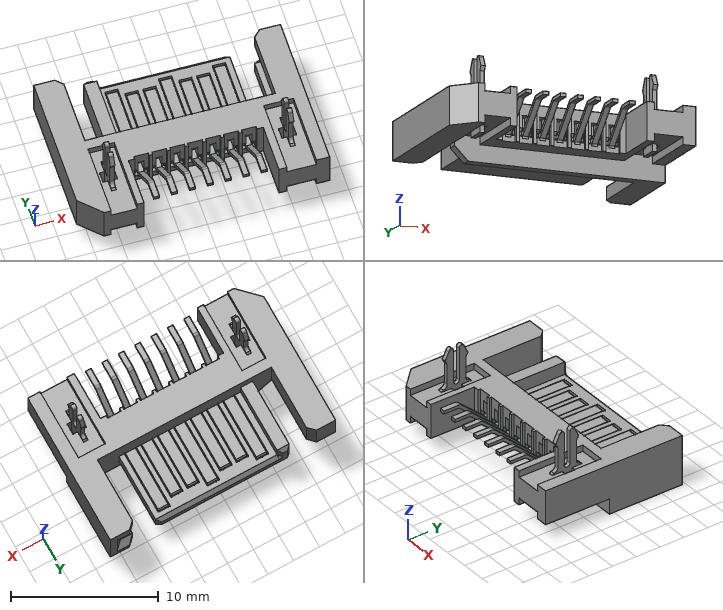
import cadquery as cq
import math


LENGTH = 17.47
DEPTH = 11.5
BODY_TOP = 4.0
BODY_BOTTOM = 1.24
ARM_WIDTH = 2.0
ARM_TIP_CHAMFER = 0.5
CORNER_CHAMFER = 1.5
BAR_FRONT = 3.65
BAR_BACK = 6.11
LEFT_LEG_WIDTH = 4.33
RIGHT_LEG_WIDTH = 3.6

SKIRT_FRONT = 5.36
SKIRT_CHAMFER = 1.0

LEDGE_TOP = 0.93
GROOVE_TOP = 3.0
GROOVE_DEPTH = 0.93

TONGUE_LEFT = 3.45
TONGUE_RIGHT = 13.8
TONGUE_BOTTOM = LEDGE_TOP
TONGUE_TOP = 2.08
KEY_WIDTH = 0.95
KEY_TOP = 3.1
TONGUE_TIP_CHAMFER = 0.3
TONGUE_TIP_BEVEL_ANGLE = 45

POCKET_SPANS = ((ARM_WIDTH, 3.85), (14.43, 16.53))
POCKET_BACK = SKIRT_FRONT
TOP_POCKET_DEPTH = 0.5
BOTTOM_POCKET_DEPTH = 0.55
POCKET_FLOOR = BODY_TOP - TOP_POCKET_DEPTH

CONTACT_COUNT = 7
CONTACT_ROW_LENGTH = 7.62
PITCH = CONTACT_ROW_LENGTH / (CONTACT_COUNT - 1)
CENTER_CONTACT_X = 9.1
LONG_CONTACTS = (0, 3, 6)
LONG_SLOT_END = 10.85
SHORT_SLOT_END = 10.35
SLOT_WIDTH = 0.9
SLOT_CLEARANCE = 0.05
SLOT_END_GAP = 0.09
CONTACT_THICKNESS = 0.25
CONTACT_TIP_CHAMFER = 0.1
CONTACT_FLOOR = TONGUE_TOP - CONTACT_THICKNESS
CONTACT_FRONT = 4.05
NOTCH_WIDTH = 1.03
NOTCH_DEPTH = 0.21
NOTCH_BACK = BAR_FRONT + NOTCH_DEPTH
SLOT_FLARE_BOTTOM = 1.71
SLOT_FLARE_TOP = 2.3
SLOT_FLARE_DEPTH = 0.21
RELIEF_TOP = 3.2
RELIEF_DEPTH = 0.7

PIN_WIDTH = 0.42
PIN_FRONT = 0.25
PIN_BEND_Y = 1.52
PIN_BEND_RADIUS = 0.35
PIN_LOW = 1.57
PIN_STEP_Y = 3.85
PIN_SLOPE = math.radians(41)

CLIP_CENTERS_X = (2.78, 15.45)
CLIP_CENTER_Y = 3.18
CLIP_THICKNESS = 0.33
CLIP_TOP = 6.7
CLIP_HALF_WIDTH = 0.79
CLIP_FOOT_HALF_WIDTH = 1.25
CLIP_FOOT_HEIGHT = 0.12
CLIP_FILLET = 0.33
CLIP_GAP = 0.47
CLIP_GAP_BOTTOM = 3.7
BARB_HALF_WIDTH = 0.96
BARB_Z = 5.9
BARB_BASE_Z = 5.57
PRONG_SHOULDER_HALF_WIDTH = 0.65
PRONG_SHOULDER_Z = 6.53
PRONG_CREST_HALF_WIDTH = 0.44
PRONG_INNER_Z = 6.5
WINDOW_WIDTH = 1.03
WINDOW_DEPTH = 0.82


def box(x_span, y_span, z_span):
    """Box between the given X, Y and Z limits."""
    corners = list(zip(x_span, y_span, z_span))
    size = [high - low for low, high in zip(*corners)]
    return cq.Workplane("XY").box(*size, centered=False).translate(corners[0])


def plate(points, x_center, width):
    """Plate with a (Y, Z) outline, centered on x_center and width thick along X."""
    outline = cq.Workplane("YZ", origin=(x_center - width / 2, 0, 0)).polyline(points).close()
    return outline.extrude(width)


def make_body():
    """Two-armed frame with the two front legs."""
    inner_right = LENGTH - ARM_WIDTH
    points = [
        (CORNER_CHAMFER, 0),
        (LEFT_LEG_WIDTH, 0),
        (LEFT_LEG_WIDTH, BAR_FRONT),
        (LENGTH - RIGHT_LEG_WIDTH, BAR_FRONT),
        (LENGTH - RIGHT_LEG_WIDTH, 0),
        (LENGTH, 0),
        (LENGTH, DEPTH),
        (inner_right + ARM_TIP_CHAMFER, DEPTH),
        (inner_right, DEPTH - ARM_TIP_CHAMFER),
        (inner_right, BAR_BACK),
        (ARM_WIDTH, BAR_BACK),
        (ARM_WIDTH, DEPTH - ARM_TIP_CHAMFER),
        (ARM_WIDTH - ARM_TIP_CHAMFER, DEPTH),
        (0, DEPTH),
        (0, CORNER_CHAMFER),
    ]
    outline = cq.Workplane("XY", origin=(0, 0, BODY_BOTTOM)).polyline(points).close()
    return outline.extrude(BODY_TOP - BODY_BOTTOM)


def make_skirt():
    """Wall under the crossbar, chamfered at its lower left corner."""
    wall = box((ARM_WIDTH, LENGTH), (SKIRT_FRONT, BAR_BACK), (0, BODY_BOTTOM))
    return wall.edges("|Y and <X and <Z").chamfer(SKIRT_CHAMFER)


def make_right_arm_base():
    """Lower part of the right arm, which carries the ledge."""
    inner = LENGTH - ARM_WIDTH
    base = box((inner, LENGTH), (BAR_BACK, DEPTH), (0, BODY_BOTTOM))
    return base.edges("|Z and <X and >Y").chamfer(ARM_TIP_CHAMFER)


def make_guide_groove():
    """Groove above the ledge, widening at its back end, plus the bevel on the back of the ledge."""
    inner = LENGTH - ARM_WIDTH
    floor_x = inner + GROOVE_DEPTH
    points = [
        (inner, BAR_BACK),
        (floor_x, BAR_BACK),
        (floor_x, DEPTH - ARM_TIP_CHAMFER),
        (floor_x + ARM_TIP_CHAMFER, DEPTH),
        (inner, DEPTH),
    ]
    outline = cq.Workplane("XY", origin=(0, 0, LEDGE_TOP)).polyline(points).close()
    groove = outline.extrude(GROOVE_TOP - LEDGE_TOP)
    bevel_points = [
        (DEPTH - ARM_TIP_CHAMFER, LEDGE_TOP),
        (DEPTH, LEDGE_TOP),
        (DEPTH, LEDGE_TOP - ARM_TIP_CHAMFER),
    ]
    bevel_width = GROOVE_DEPTH + ARM_TIP_CHAMFER
    bevel = plate(bevel_points, inner + bevel_width / 2, bevel_width)
    return groove.union(bevel)


def make_tongue():
    """L-section tongue with a bevel all round its tip."""
    points = [
        (TONGUE_LEFT, TONGUE_BOTTOM),
        (TONGUE_RIGHT, TONGUE_BOTTOM),
        (TONGUE_RIGHT, TONGUE_TOP),
        (TONGUE_LEFT + KEY_WIDTH, TONGUE_TOP),
        (TONGUE_LEFT + KEY_WIDTH, KEY_TOP),
        (TONGUE_LEFT, KEY_TOP),
    ]
    bevel_start = DEPTH - TONGUE_TIP_CHAMFER

    def section(y):
        return cq.Workplane("XZ", origin=(0, y, 0)).polyline(points).close()

    shank = section(BAR_BACK).extrude(BAR_BACK - bevel_start)
    tip = section(bevel_start).extrude(-TONGUE_TIP_CHAMFER, taper=TONGUE_TIP_BEVEL_ANGLE)
    return shank.union(tip)


def make_leg_pockets():
    """Pockets in the top and the underside of both legs."""
    pockets = cq.Workplane("XY")
    for span in POCKET_SPANS:
        pockets = pockets.union(box(span, (0, POCKET_BACK), (POCKET_FLOOR, BODY_TOP)))
        bottom_z = (BODY_BOTTOM, BODY_BOTTOM + BOTTOM_POCKET_DEPTH)
        pockets = pockets.union(box(span, (0, POCKET_BACK), bottom_z))
    return pockets


def make_clip_windows():
    """Rectangular openings through the legs around the clips."""
    centers = [(x, CLIP_CENTER_Y) for x in CLIP_CENTERS_X]
    return cq.Workplane("XY").pushPoints(centers).rect(WINDOW_WIDTH, WINDOW_DEPTH).extrude(BODY_TOP)


def make_contact_slot(x, slot_end):
    """Front notch, flared contact slot along the bar and tongue, and pin relief above its mouth."""
    half_notch = NOTCH_WIDTH / 2
    notch = box((x - half_notch, x + half_notch), (BAR_FRONT, NOTCH_BACK), (BODY_BOTTOM, BODY_TOP))
    slot_points = [
        (NOTCH_BACK, SLOT_FLARE_BOTTOM),
        (NOTCH_BACK + SLOT_FLARE_DEPTH, CONTACT_FLOOR),
        (slot_end, CONTACT_FLOOR),
        (slot_end, TONGUE_TOP),
        (NOTCH_BACK + SLOT_FLARE_DEPTH, TONGUE_TOP),
        (NOTCH_BACK, SLOT_FLARE_TOP),
    ]
    half_pin = PIN_WIDTH / 2
    relief_y = (NOTCH_BACK, NOTCH_BACK + RELIEF_DEPTH)
    relief = box((x - half_pin, x + half_pin), relief_y, (TONGUE_TOP, RELIEF_TOP))
    return notch.union(plate(slot_points, x, SLOT_WIDTH)).union(relief)


def make_contact(x, slot_end):
    """Contact blade with a bevelled tip, joined to a cranked solder pin."""
    tip = slot_end - SLOT_END_GAP
    blade_points = [
        (CONTACT_FRONT, CONTACT_FLOOR),
        (tip, CONTACT_FLOOR),
        (tip, TONGUE_TOP - CONTACT_TIP_CHAMFER),
        (tip - CONTACT_TIP_CHAMFER, TONGUE_TOP),
        (CONTACT_FRONT, TONGUE_TOP),
    ]
    blade = plate(blade_points, x, SLOT_WIDTH - 2 * SLOT_CLEARANCE)

    pin_underside = BODY_TOP - CONTACT_THICKNESS
    bend_shift = CONTACT_THICKNESS * math.tan(PIN_SLOPE / 2)
    top_bend_y = PIN_BEND_Y + bend_shift
    pin_points = [
        (PIN_FRONT, BODY_TOP),
        (PIN_FRONT, pin_underside),
        (PIN_BEND_Y, pin_underside),
        (PIN_STEP_Y, pin_underside - (PIN_STEP_Y - PIN_BEND_Y) * math.tan(PIN_SLOPE)),
        (PIN_STEP_Y, PIN_LOW),
        (CONTACT_FRONT, PIN_LOW),
        (CONTACT_FRONT, CONTACT_FLOOR),
        (CONTACT_FRONT + CONTACT_THICKNESS, CONTACT_FLOOR),
        (CONTACT_FRONT + CONTACT_THICKNESS, TONGUE_TOP),
        (top_bend_y + (BODY_TOP - TONGUE_TOP) / math.tan(PIN_SLOPE), TONGUE_TOP),
        (top_bend_y, BODY_TOP),
    ]
    pin = plate(pin_points, x, PIN_WIDTH)
    outer_bend = cq.NearestToPointSelector((x, top_bend_y, BODY_TOP))
    pin = pin.edges(outer_bend).fillet(PIN_BEND_RADIUS)
    inner_bend = cq.NearestToPointSelector((x, PIN_BEND_Y, pin_underside))
    pin = pin.edges(inner_bend).fillet(PIN_BEND_RADIUS - CONTACT_THICKNESS)
    return blade.union(pin)


def make_clip(x):
    """Two-pronged barbed board clip standing in its leg."""
    foot_top = POCKET_FLOOR + CLIP_FOOT_HEIGHT
    fillet_top = foot_top + CLIP_FILLET
    diagonal = math.sqrt(0.5)
    fillet_mid = CLIP_FILLET * (1 - diagonal)
    half_gap = CLIP_GAP / 2

    def half_outline(side):
        def at(offset, z):
            return (CLIP_CENTER_Y + side * offset, z)

        outline = cq.Workplane("YZ", origin=(x - CLIP_THICKNESS / 2, 0, 0)).moveTo(*at(0, BODY_BOTTOM))
        outline = outline.lineTo(*at(CLIP_HALF_WIDTH, BODY_BOTTOM))
        outline = outline.lineTo(*at(CLIP_HALF_WIDTH, POCKET_FLOOR))
        outline = outline.lineTo(*at(CLIP_FOOT_HALF_WIDTH, POCKET_FLOOR))
        outline = outline.lineTo(*at(CLIP_HALF_WIDTH + CLIP_FILLET, foot_top))
        outline = outline.threePointArc(
            at(CLIP_HALF_WIDTH + fillet_mid, foot_top + fillet_mid),
            at(CLIP_HALF_WIDTH, fillet_top),
        )
        outline = outline.lineTo(*at(CLIP_HALF_WIDTH, BARB_BASE_Z))
        outline = outline.lineTo(*at(BARB_HALF_WIDTH, BARB_Z))
        outline = outline.lineTo(*at(PRONG_SHOULDER_HALF_WIDTH, PRONG_SHOULDER_Z))
        outline = outline.threePointArc(at(PRONG_CREST_HALF_WIDTH, CLIP_TOP), at(half_gap, PRONG_INNER_Z))
        outline = outline.lineTo(*at(half_gap, CLIP_GAP_BOTTOM + half_gap))
        outline = outline.threePointArc(
            at(half_gap * diagonal, CLIP_GAP_BOTTOM + half_gap * (1 - diagonal)),
            at(0, CLIP_GAP_BOTTOM),
        )
        return outline.close().extrude(CLIP_THICKNESS)

    return half_outline(1).union(half_outline(-1))


result = make_body().union(make_skirt()).union(make_right_arm_base()).union(make_tongue())
result = result.cut(make_guide_groove()).cut(make_leg_pockets()).cut(make_clip_windows())

for index in range(CONTACT_COUNT):
    contact_x = CENTER_CONTACT_X - CONTACT_ROW_LENGTH / 2 + index * PITCH
    contact_slot_end = LONG_SLOT_END if index in LONG_CONTACTS else SHORT_SLOT_END
    result = result.cut(make_contact_slot(contact_x, contact_slot_end))
    result = result.union(make_contact(contact_x, contact_slot_end))

for clip_x in CLIP_CENTERS_X:
    result = result.union(make_clip(clip_x))